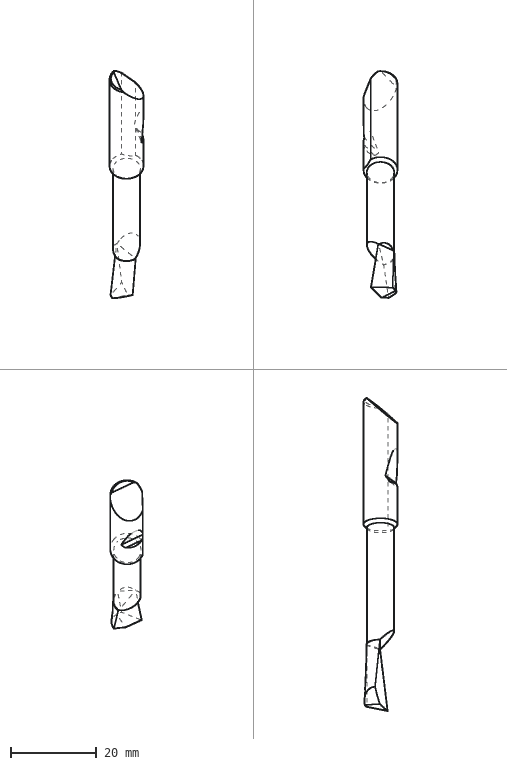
import math

import cadquery as cq

total_length = 76.2

shank_radius = 7.9375 / 2
shank_bottom_z = 44.45
shank_bottom_chamfer = 0.8
shank_top_chamfer = 0.35
shank_top_land_y = -2.2
shank_flat_half_angle = 24.5

notch_top_z = 63.5
notch_deepest_z = 56.0
notch_bottom_z = 54.7
notch_floor_y = 2.7
notch_step_y = 3.35

neck_radius = 6.35 / 2
neck_bottom_z = 15.3

head_top_radius = 3.27
head_top_cutting_edge = (-2.93, -1.5)
head_top_back_y = 1.32
head_top_heel_x = 0.94
head_tip_radius = 3.84
head_tip_cutting_edge = (-3.84, 0.0)
head_tip_back_y = 0.1
head_tip_heel_x = -0.46
tip_rise_along_x = 0.06
tip_rise_along_y = 0.085
tip_bevel_start_x = 0.5
tip_bevel_start_z = 0.28

clearance = 12.0


def on_circle_at_x(radius, x):
    """Point on the -Y side of a circle about the axis."""
    return (x, -math.sqrt(radius**2 - x**2))


def on_circle_at_y(radius, y):
    """Point on the +X side of a circle about the axis."""
    return (math.sqrt(radius**2 - y**2), y)


def prism_along_x(yz_points):
    """Closed YZ outline extruded through the whole bar."""
    outline = cq.Workplane("YZ").polyline(yz_points).close()
    return outline.extrude(clearance, both=True)


def relief_below_line(start, end, z):
    """Body under a 45 degree plane that rises from a line at height z, to the left of start-to-end."""
    run_x = end[0] - start[0]
    run_y = end[1] - start[1]
    length = math.hypot(run_x, run_y)
    outward = (-run_y / length, run_x / length, 0)
    middle = ((start[0] + end[0]) / 2, (start[1] + end[1]) / 2, z)
    plane = cq.Plane(origin=middle, xDir=outward, normal=(run_x / length, run_y / length, 0))
    triangle = cq.Workplane(plane).polyline([(0, 0), (clearance, 0), (clearance, clearance)]).close()
    return triangle.extrude(clearance, both=True)


def make_shank():
    shank = (
        cq.Workplane("XY", origin=(0, 0, shank_bottom_z))
        .circle(shank_radius)
        .extrude(total_length - shank_bottom_z)
    )
    shank = shank.faces("<Z").chamfer(shank_bottom_chamfer)
    shank = shank.faces(">Z").chamfer(shank_top_chamfer)
    bevel = prism_along_x([
        (shank_top_land_y, total_length),
        (shank_top_land_y + clearance, total_length),
        (shank_top_land_y + clearance, total_length - clearance),
    ])
    return shank.cut(bevel).cut(make_side_flat()).cut(make_notch())


def make_side_flat():
    flat_distance = shank_radius * math.cos(math.radians(shank_flat_half_angle))
    block = (
        cq.Workplane("XY", origin=(0, 0, shank_bottom_z))
        .center(-flat_distance - clearance / 2, 0)
        .rect(clearance, clearance)
        .extrude(total_length - shank_bottom_z)
    )
    return block.rotate((0, 0, 0), (0, 0, 1), -shank_flat_half_angle)


def make_notch():
    """Shallow ramp from above, ending in a short step at the bottom."""
    return prism_along_x([
        (shank_radius, notch_top_z),
        (notch_floor_y, notch_deepest_z),
        (notch_step_y, notch_bottom_z),
        (shank_radius, notch_bottom_z),
    ])


def make_neck():
    """Round neck whose lower end runs out at 45 degrees onto the rake and clearance faces."""
    neck = (
        cq.Workplane("XY", origin=(0, 0, neck_bottom_z))
        .circle(neck_radius)
        .extrude(shank_bottom_z - neck_bottom_z)
    )
    back = on_circle_at_y(head_top_radius, head_top_back_y)
    heel = on_circle_at_x(head_top_radius, head_top_heel_x)
    rake_runout = relief_below_line(head_top_cutting_edge, back, neck_bottom_z)
    clearance_runout = relief_below_line(heel, head_top_cutting_edge, neck_bottom_z)
    return neck.cut(rake_runout).cut(clearance_runout)


def head_section(work, radius, cutting_edge, back_y, heel_x):
    """Cutting edge straight to the back edge, round to the heel, straight back to the cutting edge."""
    back = on_circle_at_y(radius, back_y)
    heel = on_circle_at_x(radius, heel_x)
    middle_angle = (math.atan2(back[1], back[0]) + math.atan2(heel[1], heel[0])) / 2
    arc_middle = (radius * math.cos(middle_angle), radius * math.sin(middle_angle))
    return work.moveTo(*cutting_edge).lineTo(*back).threePointArc(arc_middle, heel).close()


def make_head():
    sections = head_section(
        cq.Workplane("XY"), head_tip_radius, head_tip_cutting_edge, head_tip_back_y, head_tip_heel_x
    )
    sections = head_section(
        sections.workplane(offset=neck_bottom_z),
        head_top_radius, head_top_cutting_edge, head_top_back_y, head_top_heel_x,
    )
    head = sections.loft(ruled=True)
    return head.cut(make_end_face_cutter()).cut(make_corner_bevel())


def make_end_face_cutter():
    """Block below the tilted end face, which is lowest at the tip of the cutting edge."""
    plane = cq.Plane(
        origin=(head_tip_cutting_edge[0], head_tip_cutting_edge[1], 0),
        xDir=(1, 0, tip_rise_along_x),
        normal=(-tip_rise_along_x, tip_rise_along_y, 1),
    )
    return cq.Workplane(plane).rect(2 * clearance, 2 * clearance).extrude(-clearance)


def make_corner_bevel():
    """Prism along Y that removes the +X corner of the tip at 45 degrees."""
    start = (tip_bevel_start_x, tip_bevel_start_z)
    outline = cq.Workplane("XZ").polyline([
        (start[0] - clearance, start[1] - clearance),
        (start[0] + clearance, start[1] - clearance),
        (start[0] + clearance, start[1] + clearance),
    ])
    return outline.close().extrude(clearance, both=True)


result = make_shank().union(make_neck()).union(make_head())